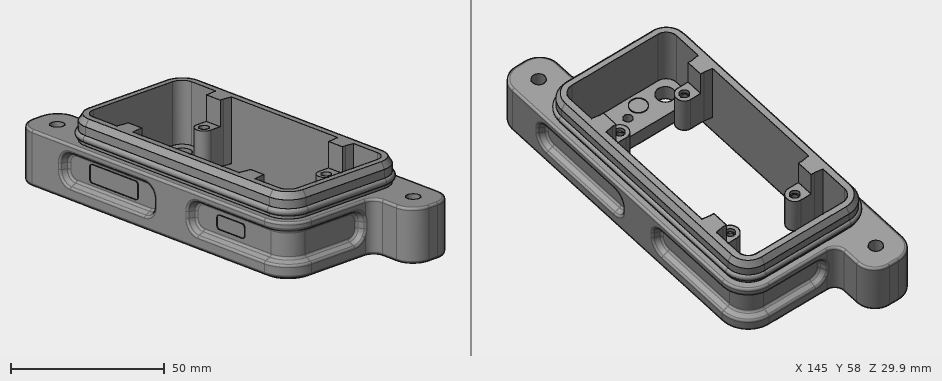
import cadquery as cq
import math

LENGTH = 145.0
WIDTH = 58.0
HEIGHT = 29.9

BLOCK_LENGTH = 109.0
BLOCK_CORNER_RADIUS = 10.9
FLANGE_BOTTOM = 1.3
FLANGE_TOP = 20.9
FLANGE_EDGE_RADIUS = 0.9
EAR_WIDTH = 19.0
EAR_CORNER_RADIUS = 7.5
EAR_INNER_RADIUS = 3.9
EAR_HOLE_DIAMETER = 5.0
EAR_HOLE_INSET = 9.4

COLLAR_LENGTH = 103.0
COLLAR_WIDTH = 52.2
COLLAR_CORNER_RADIUS = 8.4
COLLAR_CHAMFER_WIDTH = 1.5
COLLAR_CHAMFER_HEIGHT = 2.3
BEAD_BULGE = 1.0
BEAD_Z = 23.2
BEAD_DIAMETER = 2.6

CAVITY_LENGTH = 95.5
CAVITY_WIDTH = 44.5
CAVITY_CORNER_RADIUS = 4.4

PLATE_BOTTOM = 1.7
PLATE_TOP = 7.5
PLATE_INNER_X = 34.2
PLATE_HOLE_DIAMETER = 6.8
PLATE_HOLE_X = 41.6
PLATE_HOLE_Y = 16.1
PILOT_HOLE_DIAMETER = 3.3
PILOT_HOLE_X = 41.0
EARTH_MARK_DIAMETER = 6.5
EARTH_MARK_X = 43.4
EARTH_MARK_Y = -6.2
MARK_DEPTH = 0.3

POST_X = 28.5
POST_Y = 13.5
POST_DIAMETER = 6.5
POST_ROOT_WIDTH = 7.5
POST_BOTTOM = 6.5
POST_STEP_Z = 20.6
POST_STEP_Y = 17.7
POST_TAPER_Y = 19.1
SCREW_HOLE_DIAMETER = 2.5
SCREW_MOUTH_DIAMETER = 3.5
SCREW_MOUTH_DEPTH = 1.5

RECESS_DEPTH = 3.0
RECESS_SLOPE_WIDTH = 1.3
RECESS_FLOOR_HEIGHT = 9.5
RECESS_FLOOR_RADIUS = 3.6
RECESS_EDGE_RADIUS = 1.0
RECESS_Z = 11.9
RECESS_NEAR_X = 8.8
RECESS_FAR_X = 50.8
RECESS_SIDE_END_Y = 5.0
CUT_MARGIN = 0.7

PANEL_RADIUS = 1.2
LARGE_PANEL_X = -30.0
LARGE_PANEL_LENGTH = 22.5
LARGE_PANEL_HEIGHT = 6.5
SMALL_PANEL_X = 24.6
SMALL_PANEL_LENGTH = 12.9
SMALL_PANEL_HEIGHT = 5.1

SIDES = (-1, 1)
HALF_WIDTH = WIDTH / 2
BLOCK_HALF = BLOCK_LENGTH / 2
CORNER_X = BLOCK_HALF - BLOCK_CORNER_RADIUS
CORNER_Y = BLOCK_CORNER_RADIUS - HALF_WIDTH
RECESS_FLOOR_Y = RECESS_DEPTH - HALF_WIDTH


def rounded_block(length, width, radius, bottom, top):
    block = cq.Workplane("XY", origin=(0, 0, bottom)).rect(length, width).extrude(top - bottom)
    return block.edges("|Z").fillet(radius)


def cylinder(x, y, diameter, bottom, top):
    return cq.Workplane("XY", origin=(x, y, bottom)).circle(diameter / 2).extrude(top - bottom)


def half_turn(shape):
    return shape.rotate((0, 0, 0), (0, 0, 1), 180)


def make_flange():
    half_length = LENGTH / 2
    ear_edge = HALF_WIDTH - EAR_WIDTH
    ear_x = half_length - EAR_CORNER_RADIUS
    outline = cq.Workplane("XY", origin=(0, 0, FLANGE_BOTTOM)).moveTo(-ear_x, -HALF_WIDTH)
    for s in (1, -1):
        outline = (
            outline.lineTo(s * CORNER_X, -s * HALF_WIDTH)
            .radiusArc((s * BLOCK_HALF, s * CORNER_Y), -BLOCK_CORNER_RADIUS)
            .lineTo(s * BLOCK_HALF, s * (ear_edge - EAR_INNER_RADIUS))
            .radiusArc((s * (BLOCK_HALF + EAR_INNER_RADIUS), s * ear_edge), EAR_INNER_RADIUS)
            .lineTo(s * ear_x, s * ear_edge)
            .radiusArc((s * half_length, s * (ear_edge + EAR_CORNER_RADIUS)), -EAR_CORNER_RADIUS)
            .lineTo(s * half_length, s * (HALF_WIDTH - EAR_CORNER_RADIUS))
            .radiusArc((s * ear_x, s * HALF_WIDTH), -EAR_CORNER_RADIUS)
        )
    flange = outline.close().extrude(FLANGE_TOP - FLANGE_BOTTOM)
    return flange.faces("<Z or >Z").edges().fillet(FLANGE_EDGE_RADIUS)


def recess_cutter(start, end):
    """Recess along the -Y face, growing wider from its floor outwards."""
    slope = math.degrees(math.atan2(RECESS_SLOPE_WIDTH, RECESS_DEPTH))
    floor = cq.Sketch().rect(end - start, RECESS_FLOOR_HEIGHT).vertices().fillet(RECESS_FLOOR_RADIUS)
    return (
        cq.Workplane("XZ", origin=((start + end) / 2, RECESS_FLOOR_Y, RECESS_Z))
        .placeSketch(floor)
        .extrude(RECESS_DEPTH + CUT_MARGIN, taper=-slope)
    )


def corner_cutter():
    """Quarter turn carrying the recess section around the vertical block corner."""
    floor_radius = BLOCK_CORNER_RADIUS - RECESS_DEPTH
    outer_radius = BLOCK_CORNER_RADIUS + CUT_MARGIN
    floor_half = RECESS_FLOOR_HEIGHT / 2
    outer_half = floor_half + RECESS_SLOPE_WIDTH * (RECESS_DEPTH + CUT_MARGIN) / RECESS_DEPTH
    return (
        cq.Workplane("XZ", origin=(CORNER_X, CORNER_Y, RECESS_Z))
        .polyline([
            (0, -floor_half),
            (floor_radius, -floor_half),
            (outer_radius, -outer_half),
            (outer_radius, outer_half),
            (floor_radius, floor_half),
            (0, floor_half),
        ])
        .close()
        .revolve(90, (0, 0), (0, -1))
    )


def wrapped_cutter():
    """Recess running along -Y, around the block corner and along +X."""
    reach = LENGTH
    keep_front = cq.Workplane("XY").box(reach, reach, reach).translate((CORNER_X - reach / 2, 0, 0))
    front = recess_cutter(RECESS_NEAR_X, reach).intersect(keep_front)
    side = recess_cutter(-reach, RECESS_SIDE_END_Y).rotate((0, 0, 0), (0, 0, 1), 90)
    side = side.translate((BLOCK_HALF - HALF_WIDTH, 0, 0))
    keep_side = cq.Workplane("XY").box(reach, reach, reach).translate((0, CORNER_Y + reach / 2, 0))
    cutter = front.union(side.intersect(keep_side))
    corner_core = rounded_block(
        2 * (BLOCK_HALF - RECESS_DEPTH),
        2 * (HALF_WIDTH - RECESS_DEPTH),
        BLOCK_CORNER_RADIUS - RECESS_DEPTH,
        0,
        HEIGHT,
    )
    return cutter.union(corner_cutter()).cut(corner_core)


def cut_recesses(flange):
    rim_z = RECESS_Z - RECESS_FLOOR_HEIGHT / 2 - RECESS_SLOPE_WIDTH
    floor_z = RECESS_Z - RECESS_FLOOR_HEIGHT / 2
    plain = recess_cutter(-RECESS_FAR_X, -RECESS_NEAR_X)
    wrapped = wrapped_cutter()
    for cutter in (plain, wrapped):
        flange = flange.cut(cutter).cut(half_turn(cutter))
    mid_plain = (RECESS_NEAR_X + RECESS_FAR_X) / 2
    mid_wrapped = (RECESS_NEAR_X + CORNER_X) / 2
    for y, z in ((RECESS_FLOOR_Y, floor_z), (-HALF_WIDTH, rim_z)):
        for x in (-mid_plain, mid_wrapped):
            for s in SIDES:
                edge = cq.selectors.NearestToPointSelector((s * x, s * y, z))
                flange = flange.edges(edge).fillet(RECESS_EDGE_RADIUS)
    return flange


def make_bead():
    """Round bead swept around the collar, sunk so that only its bulge stands out."""
    sink = BEAD_DIAMETER / 2 - BEAD_BULGE
    half_length = COLLAR_LENGTH / 2 - sink
    path = rounded_block(
        2 * half_length,
        COLLAR_WIDTH - 2 * sink,
        COLLAR_CORNER_RADIUS - sink,
        BEAD_Z,
        HEIGHT,
    )
    path = path.faces("<Z").wires()
    profile = cq.Workplane("XZ", origin=(half_length, 0, BEAD_Z)).circle(BEAD_DIAMETER / 2)
    return profile.sweep(path)


def make_bottom_lip():
    lip = rounded_block(
        COLLAR_LENGTH + 2 * BEAD_BULGE,
        COLLAR_WIDTH + 2 * BEAD_BULGE,
        COLLAR_CORNER_RADIUS + BEAD_BULGE,
        0,
        2 * FLANGE_BOTTOM,
    )
    return lip.faces("<Z").edges().fillet(FLANGE_BOTTOM)


def make_collar():
    collar = rounded_block(COLLAR_LENGTH, COLLAR_WIDTH, COLLAR_CORNER_RADIUS, FLANGE_TOP, HEIGHT)
    top_edges = collar.faces(">Z").edges()
    return top_edges.chamfer(COLLAR_CHAMFER_HEIGHT, COLLAR_CHAMFER_WIDTH)


def make_plates(cavity):
    plates = cavity.intersect(
        cq.Workplane("XY", origin=(0, 0, PLATE_BOTTOM))
        .rect(LENGTH, WIDTH)
        .rect(2 * PLATE_INNER_X, COLLAR_WIDTH)
        .extrude(PLATE_TOP - PLATE_BOTTOM)
    )
    for s in SIDES:
        for y in (-PLATE_HOLE_Y, PLATE_HOLE_Y):
            plates = plates.cut(cylinder(s * PLATE_HOLE_X, y, PLATE_HOLE_DIAMETER, 0, HEIGHT))
        plates = plates.cut(cylinder(s * PILOT_HOLE_X, 0, PILOT_HOLE_DIAMETER, 0, HEIGHT))
        mark_bottom = PLATE_TOP - MARK_DEPTH
        plates = plates.cut(
            cylinder(s * EARTH_MARK_X, EARTH_MARK_Y, EARTH_MARK_DIAMETER, mark_bottom, HEIGHT)
        )
    return plates


def make_post():
    """Screw post on the +Y wall, centred on x = 0."""
    radius = POST_DIAMETER / 2
    wall_y = CAVITY_WIDTH / 2
    root_y = (wall_y + COLLAR_WIDTH / 2 - COLLAR_CHAMFER_WIDTH) / 2
    half_root = POST_ROOT_WIDTH / 2
    post = (
        cq.Workplane("XY", origin=(0, 0, POST_BOTTOM))
        .moveTo(radius, POST_Y)
        .lineTo(radius, POST_TAPER_Y)
        .lineTo(half_root, wall_y)
        .lineTo(half_root, root_y)
        .lineTo(-half_root, root_y)
        .lineTo(-half_root, wall_y)
        .lineTo(-radius, POST_TAPER_Y)
        .lineTo(-radius, POST_Y)
        .radiusArc((radius, POST_Y), -radius)
        .close()
        .extrude(HEIGHT - POST_BOTTOM)
    )
    step = cq.Workplane("XY", origin=(0, POST_STEP_Y - HEIGHT / 2, POST_STEP_Z)).rect(LENGTH, HEIGHT)
    post = post.cut(step.extrude(HEIGHT))
    post = post.cut(cylinder(0, POST_Y, SCREW_HOLE_DIAMETER, 0, HEIGHT))
    mouth_bottom = POST_STEP_Z - SCREW_MOUTH_DEPTH
    return post.cut(cylinder(0, POST_Y, SCREW_MOUTH_DIAMETER, mouth_bottom, HEIGHT))


def make_panel(x, length, height):
    panel = cq.Workplane("XZ", origin=(x, RECESS_FLOOR_Y + MARK_DEPTH, RECESS_Z)).rect(length, height)
    return panel.extrude(RECESS_DEPTH).edges("|Y").fillet(PANEL_RADIUS)


shell = cut_recesses(make_flange())
shell = shell.union(make_collar())
shell = shell.union(make_bead())
shell = shell.union(make_bottom_lip())
cavity = rounded_block(CAVITY_LENGTH, CAVITY_WIDTH, CAVITY_CORNER_RADIUS, 0, HEIGHT)
shell = shell.cut(cavity)

result = shell.union(make_plates(cavity))
post = make_post()
for x in (-POST_X, POST_X):
    placed = post.translate((x, 0, 0))
    result = result.union(placed).union(placed.mirror("XZ"))

for s in SIDES:
    hole_x = s * (LENGTH / 2 - EAR_HOLE_INSET)
    hole_y = s * (HALF_WIDTH - EAR_WIDTH / 2)
    result = result.cut(cylinder(hole_x, hole_y, EAR_HOLE_DIAMETER, 0, HEIGHT))
result = result.cut(make_panel(LARGE_PANEL_X, LARGE_PANEL_LENGTH, LARGE_PANEL_HEIGHT))
result = result.cut(make_panel(SMALL_PANEL_X, SMALL_PANEL_LENGTH, SMALL_PANEL_HEIGHT))